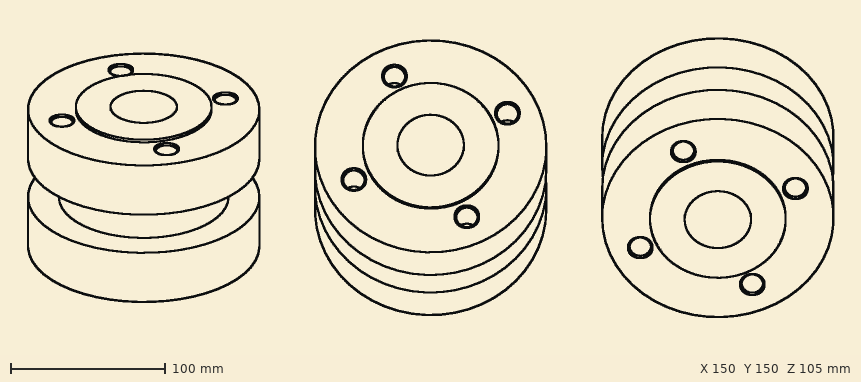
import cadquery as cq
import math

total_height = 105.0
flange_diameter = 150.0
flange_thickness = 36.5
face_diameter = 88.0
face_height = 2.0
neck_diameter = 110.0

bore_diameter = 41.0
mouth_diameter = 43.0
mouth_depth = 16.5
taper_depth = 4.0

bolt_circle_diameter = 110.0
bolt_count = 4
first_bolt_angle = 45.0
bolt_hole_diameter = 13.8
bolt_chamfer_diameter = 16.0
bolt_hole_depth = 27.0
drill_tip_angle = 118.0

half_height = total_height / 2
flange_top = half_height - face_height
flange_bottom = flange_top - flange_thickness


def cylinder(diameter, bottom, top):
    """Vertical cylinder on the Z axis between two heights."""
    return cq.Workplane("XY").workplane(offset=bottom).circle(diameter / 2).extrude(top - bottom)


def bolt_hole_cutter():
    """Chamfered blind hole with a conical drill tip, entering the upper flange."""
    radius = bolt_hole_diameter / 2
    mouth_radius = bolt_chamfer_diameter / 2
    chamfer = mouth_radius - radius
    tip_height = radius / math.tan(math.radians(drill_tip_angle / 2))
    hole_bottom = flange_top - bolt_hole_depth
    profile = (
        cq.Workplane("XZ")
        .moveTo(0, flange_top)
        .lineTo(mouth_radius, flange_top)
        .lineTo(radius, flange_top - chamfer)
        .lineTo(radius, hole_bottom)
        .lineTo(0, hole_bottom - tip_height)
        .close()
    )
    cutter = profile.revolve(360, (0, 0, 0), (0, 1, 0))
    return cutter.translate((bolt_circle_diameter / 2, 0, 0))


def bore_cutter():
    """Upper bore: straight mouth, short taper, then the narrow bore to the flange underside."""
    taper_top = half_height - mouth_depth
    taper_bottom = taper_top - taper_depth
    profile = (
        cq.Workplane("XZ")
        .moveTo(0, half_height)
        .lineTo(mouth_diameter / 2, half_height)
        .lineTo(mouth_diameter / 2, taper_top)
        .lineTo(bore_diameter / 2, taper_bottom)
        .lineTo(bore_diameter / 2, flange_bottom)
        .lineTo(0, flange_bottom)
        .close()
    )
    return profile.revolve(360, (0, 0, 0), (0, 1, 0))


def upper_end():
    """Flange with its raised face, tapered bore and bolt holes."""
    end = cylinder(flange_diameter, flange_bottom, flange_top)
    end = end.union(cylinder(face_diameter, flange_top, half_height))
    end = end.cut(bore_cutter())
    hole = bolt_hole_cutter()
    for index in range(bolt_count):
        angle = first_bolt_angle + index * 360 / bolt_count
        end = end.cut(hole.rotate((0, 0, 0), (0, 0, 1), angle))
    return end


neck = cylinder(neck_diameter, -flange_bottom, flange_bottom)
neck = neck.cut(cylinder(bore_diameter, -flange_bottom, flange_bottom))
end = upper_end()
result = neck.union(end).union(end.mirror("XY"))